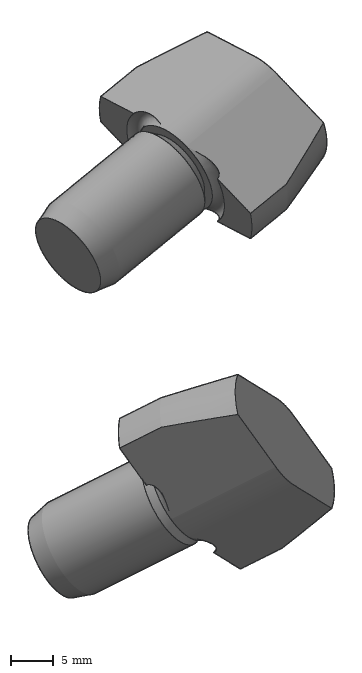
import cadquery as cq
import math

total_length = 33.0
shank_diameter = 12.0
head_length = 15.0
head_diameter = 24.98
flank_angle = 17.4

taper_angle = 15.0
head_taper_length = 9.0
tip_taper_length = 2.5

groove_outer_radius = 8.0
neck_chamfer = 1.25

shank_radius = shank_diameter / 2
head_radius = head_diameter / 2
taper_slope = math.tan(math.radians(taper_angle))
tip_radius = shank_radius - tip_taper_length * taper_slope
head_end_radius = head_radius - head_taper_length * taper_slope
neck_radius = shank_radius - neck_chamfer
head_back = total_length / 2
head_front = head_back - head_length
shank_tip = head_back - total_length
groove_arc_radius = (groove_outer_radius - shank_radius) / 2
groove_center_radius = groove_outer_radius - groove_arc_radius


def revolve_about_y(profile):
    """Turn a closed XY profile through a full circle about the Y axis."""
    return profile.close().revolve(360, (0, 0, 0), (0, 1, 0))


def make_head_round():
    """Cylinder with a conical back end that bounds the two wing tips."""
    return revolve_about_y(
        cq.Workplane("XY")
        .moveTo(0, head_front)
        .lineTo(head_radius, head_front)
        .lineTo(head_radius, head_back - head_taper_length)
        .lineTo(head_end_radius, head_back)
        .lineTo(0, head_back)
    )


def make_head_prism():
    """Lozenge whose flat flanks run tangent to the shank diameter."""
    tangent_x = shank_radius * math.sin(math.radians(flank_angle))
    tangent_z = shank_radius * math.cos(math.radians(flank_angle))
    wing_z = tangent_z - (head_radius - tangent_x) * math.tan(math.radians(flank_angle))
    return (
        cq.Workplane("XZ", origin=(0, head_back, 0))
        .moveTo(-tangent_x, tangent_z)
        .threePointArc((0, shank_radius), (tangent_x, tangent_z))
        .lineTo(head_radius, wing_z)
        .lineTo(head_radius, -wing_z)
        .lineTo(tangent_x, -tangent_z)
        .threePointArc((0, -shank_radius), (-tangent_x, -tangent_z))
        .lineTo(-head_radius, -wing_z)
        .lineTo(-head_radius, wing_z)
        .close()
        .extrude(head_length)
    )


def make_groove():
    """Half-round ring sunk into the head, just outside the shank diameter."""
    return revolve_about_y(
        cq.Workplane("XY")
        .moveTo(shank_radius, head_front)
        .lineTo(groove_outer_radius, head_front)
        .threePointArc(
            (groove_center_radius, head_front + groove_arc_radius),
            (shank_radius, head_front),
        )
    )


def make_shank():
    """Pin with a tapered tip and a chamfer down to the neck."""
    return revolve_about_y(
        cq.Workplane("XY")
        .moveTo(0, shank_tip)
        .lineTo(tip_radius, shank_tip)
        .lineTo(shank_radius, shank_tip + tip_taper_length)
        .lineTo(shank_radius, head_front - neck_chamfer)
        .lineTo(neck_radius, head_front)
        .lineTo(0, head_front)
    )


head = make_head_prism().intersect(make_head_round()).cut(make_groove())
result = head.union(make_shank())